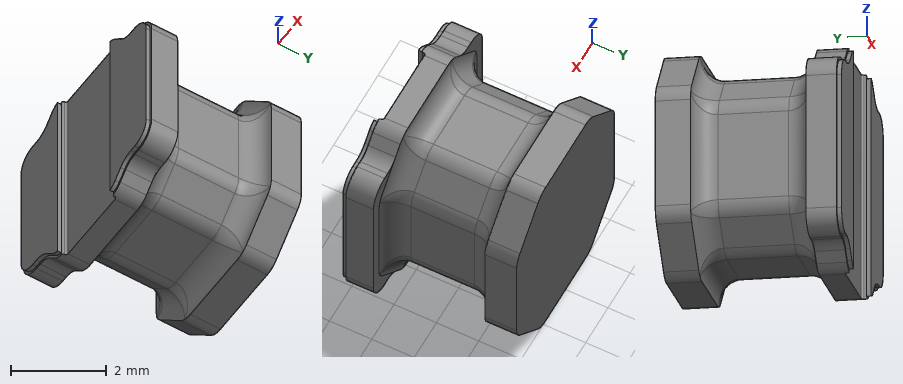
import cadquery as cq

height = 4.9
front_width = 4.9
back_width = 4.4
corner_leg = 1.1
round_radius = 0.5
flare_radius = 0.5
shoulder_drop = 0.5

back_thickness = 0.75
core_width = 3.42
core_height = 3.88
core_corner_leg = 0.805
core_length = 1.5
front_thickness = 0.65
pad_thickness = 0.1
pad_inset = 0.06

groove_floor_width = 1.805
groove_round = 0.05
groove_depth = 2 * groove_round

flange_face = pad_thickness
neck_start = flange_face + front_thickness
neck_end = neck_start + core_length + 2 * flare_radius
groove_floor = flange_face + groove_depth


def plane_at(y):
    """Plane facing -Y, with local X along X and local Y along Z."""
    return cq.Workplane("XZ", origin=(0, y, 0))


def prism(points, start, end):
    """Sharp-cornered prism running from start to end along Y."""
    return plane_at(end).polyline(points).close().extrude(end - start)


def mirrored(quarter):
    """Full outline from its +X +Z quarter, listed from the top to the side."""
    right = quarter + [(x, -z) for x, z in reversed(quarter)]
    return right + [(-x, z) for x, z in reversed(right)]


half_height = height / 2
half_back = back_width / 2
half_front = front_width / 2
corner_x = half_back - corner_leg
shoulder_z = half_height - shoulder_drop


def octagon(width, height, leg):
    """Octagon outline: a rectangle with its corners cut at 45 degrees."""
    return mirrored([(width / 2 - leg, height / 2), (width / 2, height / 2 - leg)])


flange_octagon = octagon(back_width, height, corner_leg)
core_octagon = octagon(core_width, core_height, core_corner_leg)
lug_outline = mirrored([
    (corner_x, half_height),
    (corner_x + shoulder_drop, shoulder_z),
    (half_front, shoulder_z),
])


def make_back_flange():
    flange = prism(flange_octagon, neck_end, neck_end + back_thickness)
    return flange.edges("|Y").fillet(round_radius)


def make_neck():
    """Octagonal core that flares out at both ends to the octagon of the back flange."""
    core = prism(core_octagon, neck_start, neck_end)
    plate_size = 2 * height
    plate_thickness = flare_radius
    for plate_back in (neck_start, neck_end + plate_thickness):
        core = core.union(plane_at(plate_back).rect(plate_size, plate_size).extrude(plate_thickness))
    near_core = cq.selectors.BoxSelector(
        (-half_height, neck_start - flare_radius / 2, -half_height),
        (half_height, neck_end + flare_radius / 2, half_height),
    )
    flared = core.edges(near_core).edges("not |Y").fillet(flare_radius)
    slab = plane_at(neck_end).rect(plate_size, plate_size).extrude(neck_end - neck_start)
    neck = flared.intersect(slab).edges("|Y").fillet(round_radius)
    limit = prism(flange_octagon, neck_start, neck_end).edges("|Y").fillet(round_radius)
    return neck.intersect(limit)


def make_front_flange():
    """Front flange with four lugs and two raised pads beside a central groove."""
    flange = prism(lug_outline, flange_face, neck_start).edges("|Y").fillet(round_radius)
    pads = (
        flange.faces("<Y").wires().toPending().workplane()
        .offset2D(-pad_inset).extrude(pad_thickness, combine=False)
    )
    half_floor = groove_floor_width / 2
    wall_middle = half_floor + groove_round
    half_mouth = wall_middle + groove_round
    middle_y = (groove_floor + flange_face) / 2
    half_groove = (
        cq.Workplane("XY")
        .moveTo(0, groove_floor)
        .lineTo(half_floor, groove_floor)
        .tangentArcPoint((wall_middle, middle_y), relative=False)
        .tangentArcPoint((half_mouth, flange_face), relative=False)
        .lineTo(0, flange_face)
        .close().extrude(half_height, both=True)
    )
    pad_gap = cq.Workplane("XY").box(2 * half_mouth, 2 * pad_thickness, height)
    groove = half_groove.union(half_groove.mirror("YZ"))
    return flange.cut(groove).union(pads.cut(pad_gap))


result = make_front_flange().union(make_neck()).union(make_back_flange())